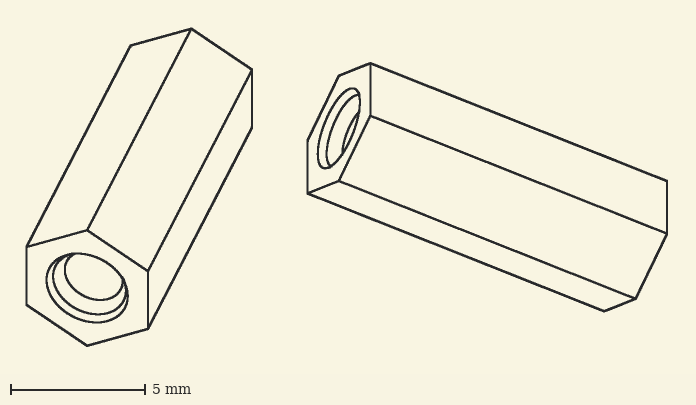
import cadquery as cq
import math

LENGTH = 12.7
ACROSS_FLATS = 4.75
BORE_DIAMETER = 2.26
SLEEVE_DIAMETER = 2.85
COUNTERSINK_DIAMETER = 3.18
COUNTERSINK_ANGLE = 60.0

ACROSS_CORNERS = ACROSS_FLATS / math.cos(math.radians(30))
HALF_LENGTH = LENGTH / 2
BORE_RADIUS = BORE_DIAMETER / 2
SLEEVE_RADIUS = SLEEVE_DIAMETER / 2
COUNTERSINK_RADIUS = COUNTERSINK_DIAMETER / 2
CONE_SLOPE = math.tan(math.radians(COUNTERSINK_ANGLE / 2))


def countersink_depth(radius):
    """Depth below the end face at which the countersink narrows to this radius."""
    return (COUNTERSINK_RADIUS - radius) / CONE_SLOPE


def revolve_about_y(points):
    """Solid turned from an (X, Y) half profile about the Y axis."""
    return cq.Workplane("XY").polyline(points).close().revolve(360, (0, 0, 0), (0, 1, 0))


def make_hex_body():
    """Hexagonal bar, corners up and down, with a seat for the sleeve countersunk at both ends."""
    bar = (
        cq.Workplane("XZ")
        .transformed(rotate=(0, 0, 90))
        .polygon(6, ACROSS_CORNERS)
        .extrude(HALF_LENGTH, both=True)
    )
    seat_end = HALF_LENGTH - countersink_depth(SLEEVE_RADIUS)
    seat = revolve_about_y([
        (0, -HALF_LENGTH),
        (COUNTERSINK_RADIUS, -HALF_LENGTH),
        (SLEEVE_RADIUS, -seat_end),
        (SLEEVE_RADIUS, seat_end),
        (COUNTERSINK_RADIUS, HALF_LENGTH),
        (0, HALF_LENGTH),
    ])
    return bar.cut(seat)


def make_thread_sleeve():
    """Lining tube whose conical ends carry the countersinks on down to the bore."""
    outer_end = HALF_LENGTH - countersink_depth(SLEEVE_RADIUS)
    bore_end = HALF_LENGTH - countersink_depth(BORE_RADIUS)
    return revolve_about_y([
        (BORE_RADIUS, -bore_end),
        (SLEEVE_RADIUS, -outer_end),
        (SLEEVE_RADIUS, outer_end),
        (BORE_RADIUS, bore_end),
    ])


hex_body = make_hex_body()
thread_sleeve = make_thread_sleeve()

result = cq.Compound.makeCompound([hex_body.val(), thread_sleeve.val()])